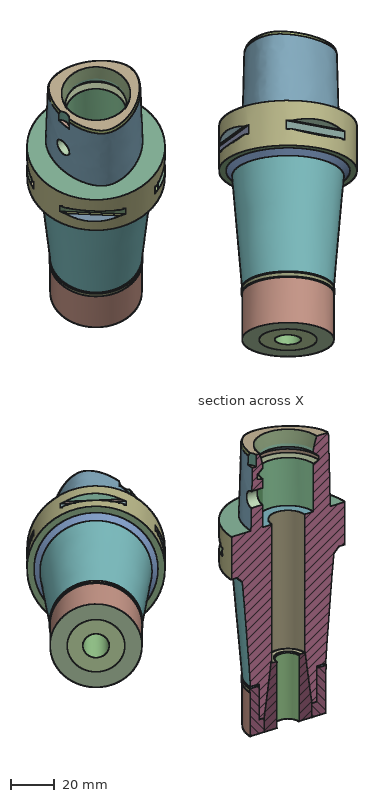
import cadquery as cq
import math

TOTAL_LENGTH = 143
SHANK_LENGTH = 38.0
FLANGE_HEIGHT = 22.0
FLANGE_TOP = TOTAL_LENGTH - SHANK_LENGTH
FLANGE_BOTTOM = FLANGE_TOP - FLANGE_HEIGHT
NUT_TOP = 24.6
NUT_GAP = 0.7
TAPER_BOTTOM = NUT_TOP + NUT_GAP
NUT_WALL = 7.2

SHANK_BASE_RADIUS = 22.2
SHANK_TAPER = 1 / 20
SHANK_LOBE = 1.5
SHANK_CHAMFER_WIDTH = 0.6
SHANK_CHAMFER_HEIGHT = 1.6
SHANK_TOP_RADIUS = SHANK_BASE_RADIUS - SHANK_LENGTH * SHANK_TAPER / 2
OUTLINE_POINTS = 60

KEYWAY_RADIUS = 4.6
KEYWAY_DEEPEST = 17.9
KEYWAY_DEPTH = 6.1
SIDE_HOLE_RADIUS = 4.1
SIDE_HOLE_DROP = 22.3
SIDE_HOLE_FLOOR = 14.3

FLANGE_RADIUS = 31.53
CHAMFER_TOP_RADIUS = 28.3
TAPER_TOP_RADIUS = 25.6
TAPER_BOTTOM_RADIUS = 21.0
TAPER_TOP = FLANGE_BOTTOM - (CHAMFER_TOP_RADIUS - TAPER_TOP_RADIUS)

SLOT_COUNT = 4
SLOT_FIRST_ANGLE = 45
SLOT_FLOOR = 27.7
SLOT_FLOOR_HEIGHT = 4.1
SLOT_WALL = 1.1
SLOT_FLARE = 1.7
SLOT_DROP = 11.9

MOUTH_RADIUS = 15.7
BORE_RADIUS = 13.94
MOUTH_DEPTH = 6.3
RECESS_TOP_DEPTH = 8.0
RECESS_RADIUS = 17.0
RECESS_FULL_DEPTH = 10.7
RECESS_WALL_DEPTH = 12.6
RECESS_BOTTOM_DEPTH = 13.6
BORE_DEPTH = SHANK_LENGTH
PASSAGE_RADIUS = 9.0

COLLET_FRONT_RADIUS = 13.2
COLLET_ANGLE = 8
COLLET_LENGTH = 34.3
COLLET_BACK_RADIUS = COLLET_FRONT_RADIUS - (COLLET_LENGTH - NUT_WALL) * math.tan(math.radians(COLLET_ANGLE))
COLLET_BORE_RADIUS = 6.0
COLLET_BORE_CHAMFER = 0.6

NECK_RADIUS = 16.2
NUT_RADIUS = 21.0
COLLAR_RADIUS = 21.3
COLLAR_HEIGHT = 1.9
COLLAR_CHAMFER_HEIGHT = 0.5


def revolved(points):
    """Solid turned about the Z axis from an outline of (radius, z) points."""
    return cq.Workplane("XZ").polyline(points).close().revolve(360, (0, 0), (0, 1))


def lobed_wire(mean_radius, z):
    """Closed three-lobed outline of constant width, with one lobe toward +Y."""
    def point(t):
        angle = 2 * math.pi * t - math.pi / 2
        support = mean_radius - SHANK_LOBE * math.sin(3 * angle)
        slope = -3 * SHANK_LOBE * math.cos(3 * angle)
        return cq.Vector(
            support * math.cos(angle) - slope * math.sin(angle),
            support * math.sin(angle) + slope * math.cos(angle),
            z,
        )

    points = [point(i / OUTLINE_POINTS) for i in range(OUTLINE_POINTS)]
    return cq.Wire.assembleEdges([cq.Edge.makeSpline(points, periodic=True)])


def make_shank():
    chamfer_start = TOTAL_LENGTH - SHANK_CHAMFER_HEIGHT
    base = lobed_wire(SHANK_BASE_RADIUS, FLANGE_TOP)
    shoulder = lobed_wire(SHANK_TOP_RADIUS, chamfer_start)
    end = lobed_wire(SHANK_TOP_RADIUS - SHANK_CHAMFER_WIDTH, TOTAL_LENGTH)
    taper = cq.Workplane(cq.Solid.makeLoft([base, shoulder], True))
    chamfer = cq.Workplane(cq.Solid.makeLoft([shoulder, end], True))
    return taper.union(chamfer)


def make_turned_body():
    """Flange, chamfer, tapered body and neck."""
    return revolved([
        (0, FLANGE_TOP),
        (FLANGE_RADIUS, FLANGE_TOP),
        (FLANGE_RADIUS, FLANGE_BOTTOM),
        (CHAMFER_TOP_RADIUS, FLANGE_BOTTOM),
        (TAPER_TOP_RADIUS, TAPER_TOP),
        (TAPER_BOTTOM_RADIUS, TAPER_BOTTOM),
        (NECK_RADIUS, TAPER_BOTTOM),
        (NECK_RADIUS, NUT_WALL),
        (0, NUT_WALL),
    ])


def make_holder_bore():
    """Conical mouth, undercut recess, bore, passage and collet seat."""
    bore_floor = TOTAL_LENGTH - BORE_DEPTH
    return revolved([
        (0, TOTAL_LENGTH),
        (MOUTH_RADIUS, TOTAL_LENGTH),
        (BORE_RADIUS, TOTAL_LENGTH - MOUTH_DEPTH),
        (BORE_RADIUS, TOTAL_LENGTH - RECESS_TOP_DEPTH),
        (RECESS_RADIUS, TOTAL_LENGTH - RECESS_FULL_DEPTH),
        (RECESS_RADIUS, TOTAL_LENGTH - RECESS_WALL_DEPTH),
        (BORE_RADIUS, TOTAL_LENGTH - RECESS_BOTTOM_DEPTH),
        (BORE_RADIUS, bore_floor),
        (PASSAGE_RADIUS, bore_floor),
        (PASSAGE_RADIUS, COLLET_LENGTH),
        (COLLET_BACK_RADIUS, COLLET_LENGTH),
        (COLLET_FRONT_RADIUS, NUT_WALL),
        (0, NUT_WALL),
    ])


def make_gripper_slot(angle):
    """Flat-floored slot along a chord of the flange, straight-walled first and then flaring outward."""
    depth = FLANGE_RADIUS - SLOT_FLOOR
    half_floor = SLOT_FLOOR_HEIGHT / 2
    half_rim = half_floor + SLOT_FLARE
    return (
        cq.Workplane("XZ")
        .polyline([
            (0, -half_floor),
            (SLOT_WALL, -half_floor),
            (depth, -half_rim),
            (depth, half_rim),
            (SLOT_WALL, half_floor),
            (0, half_floor),
        ])
        .close()
        .extrude(FLANGE_RADIUS, both=True)
        .translate((SLOT_FLOOR, 0, FLANGE_TOP - SLOT_DROP))
        .rotate((0, 0, 0), (0, 0, 1), angle)
    )


def make_keyway():
    """Round-backed notch in the shank end."""
    return (
        cq.Workplane("XY", origin=(0, -KEYWAY_DEEPEST - KEYWAY_RADIUS, TOTAL_LENGTH - KEYWAY_DEPTH))
        .circle(KEYWAY_RADIUS)
        .extrude(KEYWAY_DEPTH)
    )


def make_side_hole():
    """Blind radial hole, cut from its floor outward toward -Y."""
    return (
        cq.Workplane("XZ", origin=(0, -SIDE_HOLE_FLOOR, TOTAL_LENGTH - SIDE_HOLE_DROP))
        .circle(SIDE_HOLE_RADIUS)
        .extrude(FLANGE_RADIUS - SIDE_HOLE_FLOOR)
    )


def make_holder():
    holder = make_turned_body().union(make_shank()).cut(make_holder_bore())
    for i in range(SLOT_COUNT):
        holder = holder.cut(make_gripper_slot(SLOT_FIRST_ANGLE + i * 360 / SLOT_COUNT))
    return holder.cut(make_keyway()).cut(make_side_hole())


def make_nut():
    """Cap with a thin collar at its open end, fitted over the neck and around the collet."""
    collar_bottom = NUT_TOP - COLLAR_HEIGHT
    return revolved([
        (COLLET_FRONT_RADIUS, 0),
        (NUT_RADIUS, 0),
        (NUT_RADIUS, collar_bottom - COLLAR_CHAMFER_HEIGHT),
        (COLLAR_RADIUS, collar_bottom),
        (COLLAR_RADIUS, NUT_TOP),
        (NECK_RADIUS, NUT_TOP),
        (NECK_RADIUS, NUT_WALL),
        (COLLET_FRONT_RADIUS, NUT_WALL),
    ])


def make_collet():
    """Tapered sleeve with a chamfer at the back of its bore."""
    return revolved([
        (COLLET_BORE_RADIUS, 0),
        (COLLET_FRONT_RADIUS, 0),
        (COLLET_FRONT_RADIUS, NUT_WALL),
        (COLLET_BACK_RADIUS, COLLET_LENGTH),
        (COLLET_BORE_RADIUS + COLLET_BORE_CHAMFER, COLLET_LENGTH),
        (COLLET_BORE_RADIUS, COLLET_LENGTH - COLLET_BORE_CHAMFER),
    ])


holder = make_holder()
nut = make_nut()
collet = make_collet()

result = cq.Compound.makeCompound([holder.val(), nut.val(), collet.val()])